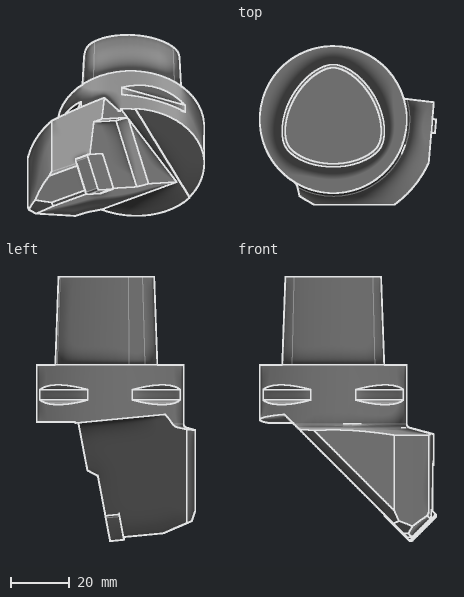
import cadquery as cq
import math

BIG = 200.0

shank_length = 30.0
shank_base_diameter = 34.75
shank_end_diameter = 32.6
lobe_count = 3
lobe_height = 1.3
lobe_half_angle = 20.7

flange_radius = 50.0 / 2
flange_bottom = -19.4
groove_z = -10.15
groove_floor_height = 3.5
groove_depth = 2.8
groove_wall_angle = 30.0
groove_count = 4
relief_z = -18.6
relief_angle = 5.5
relief_end_y = 11.9

insert_size = 12.7
insert_thickness = 4.76
nose_radius = 0.8
tool_reach = 35.0
tool_drop = 59.86
tip_y = 0.1
lead_angle = 45.0
seat_tilt = 7.65

cone_angle = 15.0
cone_z = -21.0
neck_fillet = 1.3
head_bottom = -70.0
head_front_y = -28.95
head_outer_radius = 35.6
side_x = 33.7
side_angle = 4.8
insert_overhang = 0.3
nose_relief = 1.2
corner_break_start = 10.3
corner_break_angle = 27.0
lower_front_edge_y = -26.0
front_chamfer_depth = 3.3
rake_step = 3.17
pocket_start = 31.8
pocket_slope_run = 3.1
pocket_depth = 24.0
bevel_points = [(20.7, -26.0, -53.8), (24.1, -17.75, -57.3), (26.4, -24.0, -54.5)]

lead = math.radians(lead_angle)
tilt = math.radians(seat_tilt)
along = cq.Vector(math.cos(tilt) * math.cos(lead), -math.sin(tilt), -math.cos(tilt) * math.sin(lead))
outward = cq.Vector(-math.sin(lead), 0, -math.cos(lead))
rake_normal = along.cross(outward)
nose_spacing = insert_size - 2 * nose_radius
side_extent = nose_radius * math.hypot(along.x, outward.x)
drop_extent = nose_radius * math.hypot(along.z, outward.z)
nose_centre = cq.Vector(
    tool_reach - side_extent + nose_spacing * outward.x,
    tip_y,
    drop_extent - tool_drop,
)
insert_corner = nose_centre + (along + outward) * nose_radius
insert_plane = cq.Plane(origin=insert_corner, xDir=along, normal=rake_normal)


def block_beyond(point, normal):
    """Large block filling the side of a plane that its normal points to."""
    return cq.Workplane(cq.Plane(origin=point, normal=normal)).rect(BIG, BIG).extrude(BIG)


def polygon_point(mean_radius, angle):
    """Point of the lobed profile whose normal points along the angle."""
    phase = lobe_count * (angle - math.pi / 2)
    support = mean_radius + lobe_height * math.cos(phase)
    slope = -lobe_count * lobe_height * math.sin(phase)
    return (
        support * math.cos(angle) - slope * math.sin(angle),
        support * math.sin(angle) + slope * math.cos(angle),
    )


def polygon_wire(mean_radius, z):
    """Closed profile of alternating lobes and flanks, each one smooth edge."""
    steps = 8
    pitch = 360 / lobe_count
    edges = []
    for lobe in range(lobe_count):
        middle = 90 + pitch * lobe
        face_limits = [middle - lobe_half_angle, middle + lobe_half_angle, middle + pitch - lobe_half_angle]
        for start, end in zip(face_limits, face_limits[1:]):
            angles = [math.radians(start + (end - start) * i / steps) for i in range(steps + 1)]
            points = [cq.Vector(*polygon_point(mean_radius, a), z) for a in angles]
            edges.append(cq.Edge.makeSpline(points))
    return cq.Wire.assembleEdges(edges)


def make_shank():
    base = polygon_wire(shank_base_diameter / 2, 0)
    end = polygon_wire(shank_end_diameter / 2, shank_length)
    return cq.Workplane(cq.Solid.makeLoft([base, end], True))


def make_groove():
    """Trapezoidal gripper groove cutter on the +X side."""
    floor_x = flange_radius - groove_depth
    outer_x = flange_radius + groove_depth
    half_floor = groove_floor_height / 2
    half_mouth = half_floor + (outer_x - floor_x) * math.tan(math.radians(groove_wall_angle))
    return (
        cq.Workplane("XZ")
        .polyline([
            (floor_x, groove_z - half_floor),
            (outer_x, groove_z - half_mouth),
            (outer_x, groove_z + half_mouth),
            (floor_x, groove_z + half_floor),
        ])
        .close()
        .extrude(flange_radius, both=True)
    )


def make_insert():
    return (
        cq.Workplane(insert_plane)
        .rect(-insert_size, -insert_size, centered=False)
        .extrude(-insert_thickness)
        .edges(cq.selectors.ParallelDirSelector(rake_normal))
        .fillet(nose_radius)
    )


def make_turned_body():
    """Flange cylinder blended into the wide cone that tops the head."""
    slope = math.radians(cone_angle)
    tangent = neck_fillet * math.tan((math.pi / 2 - slope) / 2)
    outer_r = 2 * flange_radius
    arc_centre = (flange_radius + neck_fillet, cone_z + tangent)
    mid_angle = math.pi + (math.pi / 2 - slope) / 2
    arc_middle = (
        arc_centre[0] + neck_fillet * math.cos(mid_angle),
        arc_centre[1] + neck_fillet * math.sin(mid_angle),
    )
    arc_end = (flange_radius + tangent * math.cos(slope), cone_z - tangent * math.sin(slope))
    return (
        cq.Workplane("XZ")
        .moveTo(0, 0)
        .lineTo(flange_radius, 0)
        .lineTo(flange_radius, cone_z + tangent)
        .threePointArc(arc_middle, arc_end)
        .lineTo(outer_r, cone_z - (outer_r - flange_radius) * math.tan(slope))
        .lineTo(outer_r, head_bottom)
        .lineTo(0, head_bottom)
        .close()
        .revolve(360, (0, 0, 0), (0, 1, 0))
    )


def make_head_profile():
    """Head outline square to the rake face, as high as the head's own rake face."""
    inset = -insert_overhang
    break_slope = math.tan(math.radians(corner_break_angle))
    return (
        cq.Workplane(insert_plane)
        .workplane(offset=rake_step)
        .polyline([
            (-BIG, inset),
            (inset - nose_relief, inset),
            (inset, inset - nose_relief),
            (inset, -corner_break_start),
            (inset - (BIG - corner_break_start) * break_slope, -BIG),
            (-BIG, -BIG),
        ])
        .close()
        .extrude(-BIG)
    )


def make_chip_pocket():
    """Recess that lowers the rake face to the insert, with a sloped end wall."""
    top = 3 * rake_step
    plane = cq.Plane(origin=insert_corner, xDir=along, normal=outward * -1)
    return (
        cq.Workplane(plane)
        .polyline([
            (BIG, 0),
            (-pocket_start, 0),
            (-pocket_start - pocket_slope_run * top / rake_step, top),
            (BIG, top),
        ])
        .close()
        .extrude(pocket_depth)
    )


def make_head_limits():
    """Solid that bounds the head on all sides except its conical top."""
    round_corner = cq.Workplane("XY").circle(head_outer_radius).extrude(head_bottom)
    limits = make_head_profile().intersect(round_corner)
    limits = limits.cut(block_beyond((0, head_front_y, 0), (0, -1, 0)))
    side = math.radians(side_angle)
    limits = limits.cut(block_beyond((side_x, 0, 0), (math.cos(side), -math.sin(side), 0)))

    face_point = insert_corner - outward * insert_overhang
    chamfer_point = cq.Vector(face_point.x, lower_front_edge_y, face_point.z)
    front_chamfer_width = lower_front_edge_y - head_front_y
    chamfer_normal = outward * front_chamfer_width + cq.Vector(0, -front_chamfer_depth, 0)
    limits = limits.cut(block_beyond(chamfer_point, chamfer_normal))

    first, second, third = [cq.Vector(*p) for p in bevel_points]
    limits = limits.cut(block_beyond(first, (second - first).cross(third - first)))

    return limits.cut(make_chip_pocket())


def make_holder():
    slope = math.radians(relief_angle)
    rear = block_beyond((0, relief_end_y, 0), (0, 1, 0))
    below_flange = block_beyond((0, 0, flange_bottom), (0, 0, -1)).intersect(rear)
    below_relief = block_beyond((0, 0, relief_z), (0, -math.sin(slope), -math.cos(slope))).cut(rear)
    waste = below_flange.union(below_relief).cut(make_head_limits())
    body = make_turned_body().cut(waste)

    groove = make_groove()
    for i in range(groove_count):
        angle = 360 / groove_count * (i + 0.5)
        body = body.cut(groove.rotate((0, 0, 0), (0, 0, 1), angle))
    return body.union(make_shank())


insert = make_insert()
holder = make_holder().cut(insert)

result = cq.Compound.makeCompound([holder.val(), insert.val()])